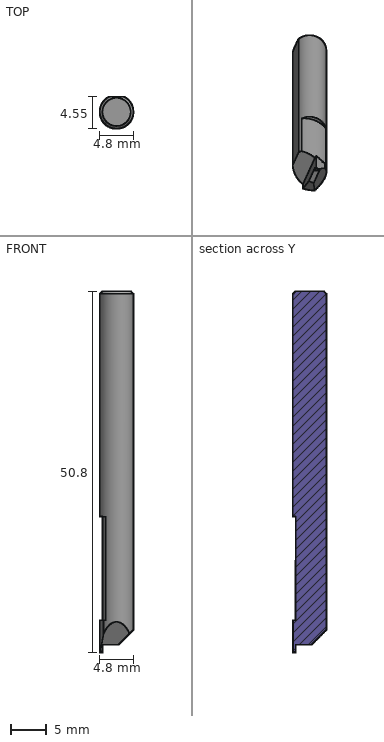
import cadquery as cq

length = 50.8
radius = 2.4
back_flat_y = 2.15
top_chamfer = 0.4

relief_bottom = 4.55
relief_top = 19.1
relief_x = -2.0
relief_radius = 3.8

rake_top = 6.85
rake_bottom = 4.85
clearance_top = 4.3
tip_depth = 0.3
tip_rise = 0.2
nose_bottom = 1.05
nose_corner_x = 0.25
tooth_inner_x = -1.95
flank_end_x = -1.85
flank_end_y = -1.5
reach = 2 * radius


def make_shank():
    shank = cq.Workplane("XY").circle(radius).extrude(length)
    shank = shank.faces(">Z").chamfer(top_chamfer)
    waste = cq.Workplane("XY").box(2 * reach, reach, length, centered=(True, False, False))
    return shank.cut(waste.translate((0, back_flat_y, 0)))


def make_relief():
    """Space outside a large cylinder, so the relieved side stays gently convex."""
    height = relief_top - relief_bottom
    base = cq.Workplane("XY").workplane(offset=relief_bottom)
    kept = base.center(relief_x + relief_radius, 0).circle(relief_radius).extrude(height)
    space = base.center(-radius, 0).rect(2 * radius, 2 * reach).extrude(height)
    return space.cut(kept)


def make_side_limit():
    """Side profile (Y, Z): ramp to the rake face, tip land and sloping front face."""
    profile = [
        (back_flat_y, length),
        (back_flat_y, rake_top),
        (0, rake_bottom),
        (0, 0),
        (-tip_depth, tip_rise),
        (-radius, clearance_top),
        (-radius, length),
    ]
    return cq.Workplane("YZ").polyline(profile).close().extrude(reach, both=True)


def make_nose_cut():
    """Waste below the nose and its 45 degree corner, leaving the tooth longer."""
    corner_rise = reach - nose_corner_x
    profile = [
        (tooth_inner_x, -reach),
        (tooth_inner_x, nose_bottom),
        (nose_corner_x, nose_bottom),
        (reach, nose_bottom + corner_rise),
        (reach, -reach),
    ]
    return cq.Workplane("XZ").polyline(profile).close().extrude(reach, both=True)


def make_flank_cut():
    """Sliver outside the plane flank that gives the tooth side clearance."""
    profile = [(-radius, 0), (flank_end_x, flank_end_y), (-radius, flank_end_y)]
    return cq.Workplane("XY").polyline(profile).close().extrude(relief_bottom)


result = (
    make_shank()
    .cut(make_relief())
    .intersect(make_side_limit())
    .cut(make_nose_cut())
    .cut(make_flank_cut())
)